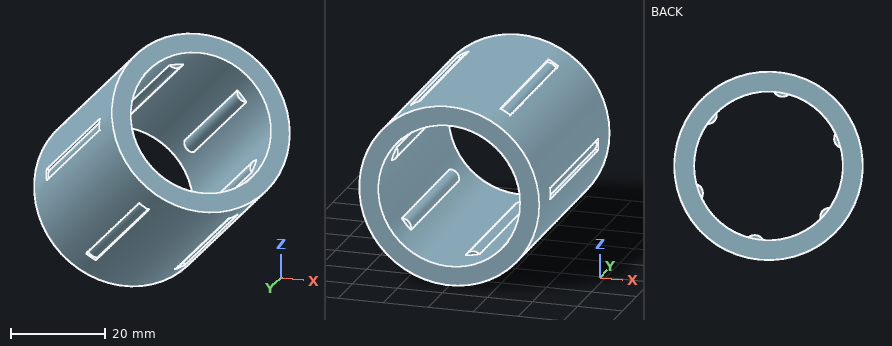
import cadquery as cq

length = 50.0
outer_radius = 20.0
bore_radius = 15.75

feature_count = 6
feature_length = 34.0
feature_pitch = 360.0 / feature_count

slot_width = 2.5
slot_crest_depth = 0.4
slot_floor_radius = 2.0

rib_angle = 20.0
rib_radius = 2.0
rib_height = 0.85


def bar_along_y(radius, bar_length, x=0.0):
    """Round bar parallel to Y, centred on the XZ plane at distance x."""
    return cq.Workplane("XZ").center(x, 0).circle(radius).extrude(bar_length / 2, both=True)


def around_axis(shape, index, offset=0.0):
    """Turn a shape about Y to its place in the ring of features."""
    return shape.rotate((0, 0, 0), (0, 1, 0), offset + index * feature_pitch)


def make_slot_cutter():
    """Radial slot on the +X side, with its floor bulging outward."""
    crest = outer_radius - slot_crest_depth
    floor_axis = crest - slot_floor_radius
    outer_end = outer_radius + slot_width
    block = cq.Workplane("XY").box(outer_end - floor_axis, feature_length, slot_width)
    block = block.translate(((floor_axis + outer_end) / 2, 0, 0))
    return block.cut(bar_along_y(slot_floor_radius, feature_length, floor_axis))


def make_rib():
    """Rounded rib on the +X side of the bore, with its outer part buried in the wall."""
    rib_axis = bore_radius - rib_height + rib_radius
    return bar_along_y(rib_radius, feature_length, rib_axis)


slot_cutter = make_slot_cutter()
rib = make_rib()

result = bar_along_y(outer_radius, length).cut(bar_along_y(bore_radius, length))
for index in range(feature_count):
    result = result.union(around_axis(rib, index, rib_angle))
    result = result.cut(around_axis(slot_cutter, index))